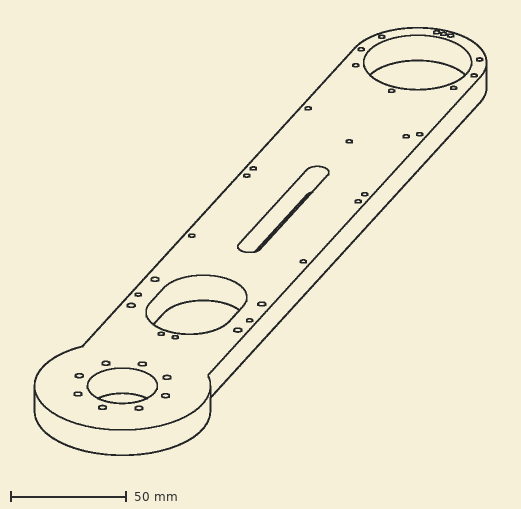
import cadquery as cq
import math

thickness = 12.5
total_length = 373.0
hub_radius = 38.0
arm_width = 59.5
tip_radius = arm_width / 2
tip_y = total_length - hub_radius - tip_radius

hub_bore_diameter = 30.2
tip_bore_diameter = 46.5
narrow_slot_width = 10.0
narrow_slot_length = 80.2
narrow_slot_y = 166.5
wide_slot_width = 37.5
wide_slot_length = 52.0
wide_slot_y = 76.5

large_hole = 3.5
small_hole = 2.5
hub_bolt_radius = 20.5
hub_bolt_count = 8
tip_bolt_radius = 27.0
tip_bolt_angles = (-30, 0, 30, 90, 150, 180, 210, 270)
tip_pair_spacing = 6.7
edge_hole_x = 26.5
edge_hole_y = (74.0, 129.5, 186.0, 193.0, 249.5)
slot_side_x = 25.5
slot_side_spacing = 24.5
slot_end_pair_spacing = 6.7
slot_end_pair_y = 47.5
single_holes = [(1.5, 231.3), (22.0, 245.5)]


def polar_points(radius, angles, center_y=0.0):
    """Points on a bolt circle centred on the plate's long axis."""
    return [
        (
            radius * math.cos(math.radians(angle)),
            center_y + radius * math.sin(math.radians(angle)),
        )
        for angle in angles
    ]


def mirrored_points(x, heights):
    """Points in pairs on both sides of the long axis."""
    return [(side * x, y) for y in heights for side in (-1, 1)]


def plate():
    hub = cq.Workplane("XY").circle(hub_radius).extrude(thickness)
    arm = (
        cq.Workplane("XY")
        .center(0, tip_y / 2)
        .rect(arm_width, tip_y)
        .extrude(thickness)
    )
    tip = cq.Workplane("XY").center(0, tip_y).circle(tip_radius).extrude(thickness)
    return hub.union(arm).union(tip)


def round_cutter(points, diameter):
    return cq.Workplane("XY").pushPoints(points).circle(diameter / 2).extrude(thickness)


def slot_cutter(y, length, width):
    return cq.Workplane("XY").center(0, y).slot2D(length, width, 90).extrude(thickness)


hub_bolts = polar_points(hub_bolt_radius, [i * 360 / hub_bolt_count for i in range(hub_bolt_count)])
tip_bolts = polar_points(tip_bolt_radius, tip_bolt_angles, tip_y)
tip_pair = mirrored_points(tip_pair_spacing / 2, [tip_y + tip_bolt_radius])
slot_sides = mirrored_points(
    slot_side_x,
    [wide_slot_y - slot_side_spacing / 2, wide_slot_y + slot_side_spacing / 2],
)
slot_end_pair = mirrored_points(slot_end_pair_spacing / 2, [slot_end_pair_y])
edge_holes = mirrored_points(edge_hole_x, edge_hole_y)

cutters = [
    round_cutter([(0, 0)], hub_bore_diameter),
    round_cutter([(0, tip_y)], tip_bore_diameter),
    slot_cutter(narrow_slot_y, narrow_slot_length, narrow_slot_width),
    slot_cutter(wide_slot_y, wide_slot_length, wide_slot_width),
    round_cutter(hub_bolts + slot_sides, large_hole),
    round_cutter(tip_bolts + tip_pair + slot_end_pair + edge_holes + single_holes, small_hole),
]

result = plate()
for cutter in cutters:
    result = result.cut(cutter)